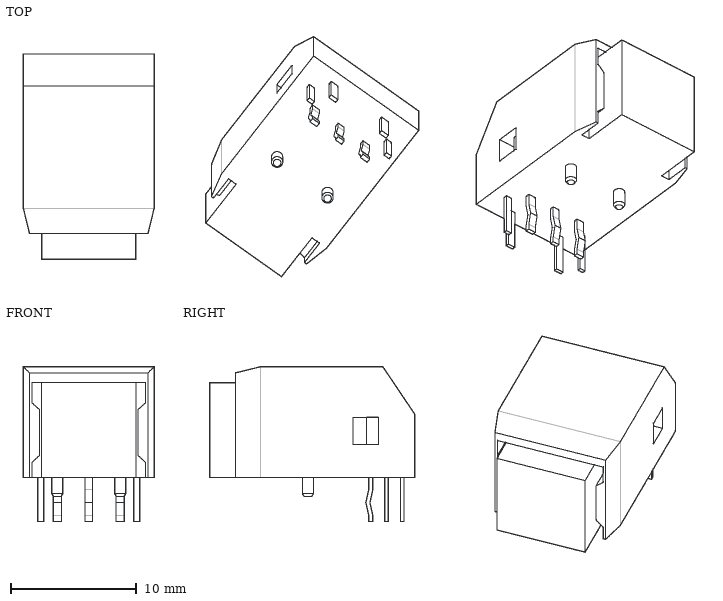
import cadquery as cq

LENGTH = 16.3
WIDTH = 10.4
HOUSING_HEIGHT = 8.8
LEAD_LENGTH = 3.5

HOUSING_FRONT = 2.04
BEVEL_LENGTH = 2.0
BEVEL_INSET = 0.49
REAR_SLOPE_LENGTH = 2.55
REAR_WALL_HEIGHT = 5.02

PLUG_WIDTH = 7.5
PLUG_HEIGHT = 7.53
RECESS_WIDTH = 9.0
RECESS_DEPTH = BEVEL_LENGTH
SIDE_WALL = (WIDTH - RECESS_WIDTH) / 2

RIB_HEIGHT = 0.6
RIB_FOOT_BOTTOM = 1.2
RIB_CREST_BOTTOM = 1.78
RIB_CREST_TOP = 5.38
RIB_FOOT_TOP = 5.92

WINDOW_FRONT = 11.4
WINDOW_LENGTH = 2.0
WINDOW_BOTTOM = 2.62
WINDOW_HEIGHT = 2.15
SLOT_LENGTH = 0.93

PEG_DIAMETER = 0.9
PEG_LENGTH = 1.52
PEG_CHAMFER_HEIGHT = 0.23
PEG_CHAMFER_WIDTH = 0.15
PEG_X = 2.5
PEG_Y = 7.8

LEAD_THICKNESS = 0.3
INNER_LEAD_X = PEG_X
INNER_LEAD_Y = 15.29
INNER_LEAD_WIDTH = 0.67
OUTER_LEAD_X = 3.81
OUTER_LEAD_Y = 14.05
OUTER_LEAD_WIDTH = 0.5
KINKED_LEAD_Y = 12.8
KINKED_LEAD_THICKNESS = 0.35
KINKED_CENTER_WIDTH = 0.6
KINK_OFFSET = 0.23
KINK_START = 0.96
KINK_PEAK = 1.99
KINK_END = 3.02


def box(x_size, y_size, z_size, x_center, y_min, z_min):
    """Box centred on x_center and starting at y_min and z_min."""
    return cq.Workplane("XY").box(x_size, y_size, z_size, centered=(True, False, False)).translate(
        (x_center, y_min, z_min)
    )


def make_housing():
    """Side outline intersected with the plan outline, giving mitred front bevels."""
    bevel_end = HOUSING_FRONT + BEVEL_LENGTH
    half_width = WIDTH / 2
    front_half_width = half_width - BEVEL_INSET
    side = (
        cq.Workplane("YZ")
        .polyline([
            (HOUSING_FRONT, 0),
            (HOUSING_FRONT, HOUSING_HEIGHT - BEVEL_INSET),
            (bevel_end, HOUSING_HEIGHT),
            (LENGTH - REAR_SLOPE_LENGTH, HOUSING_HEIGHT),
            (LENGTH, REAR_WALL_HEIGHT),
            (LENGTH, 0),
        ])
        .close()
        .extrude(half_width, both=True)
    )
    plan = (
        cq.Workplane("XY")
        .polyline([
            (-front_half_width, HOUSING_FRONT),
            (front_half_width, HOUSING_FRONT),
            (half_width, bevel_end),
            (half_width, LENGTH),
            (-half_width, LENGTH),
            (-half_width, bevel_end),
        ])
        .close()
        .extrude(HOUSING_HEIGHT)
    )
    return side.intersect(plan)


def make_recess():
    """Recess open at the front and underside, narrowed by a rib on each side wall."""
    half_width = RECESS_WIDTH / 2
    crest = half_width - RIB_HEIGHT
    right_side = [
        (half_width, 0),
        (half_width, RIB_FOOT_BOTTOM),
        (crest, RIB_CREST_BOTTOM),
        (crest, RIB_CREST_TOP),
        (half_width, RIB_FOOT_TOP),
        (half_width, PLUG_HEIGHT),
    ]
    left_side = [(-x, z) for x, z in reversed(right_side)]
    return (
        cq.Workplane("XZ", origin=(0, HOUSING_FRONT, 0))
        .polyline(right_side + left_side)
        .close()
        .extrude(-RECESS_DEPTH)
    )


def make_plug():
    return box(PLUG_WIDTH, HOUSING_FRONT + RECESS_DEPTH, PLUG_HEIGHT, 0, 0, 0)


def make_windows():
    """Pocket in each side wall plus a slot across the full width at the rear of the pockets."""
    slot_front = WINDOW_FRONT + WINDOW_LENGTH - SLOT_LENGTH
    cutter = box(WIDTH, SLOT_LENGTH, WINDOW_HEIGHT, 0, slot_front, WINDOW_BOTTOM)
    for side in (-1, 1):
        pocket_x = side * (WIDTH - SIDE_WALL) / 2
        cutter = cutter.union(
            box(SIDE_WALL, WINDOW_LENGTH, WINDOW_HEIGHT, pocket_x, WINDOW_FRONT, WINDOW_BOTTOM)
        )
    return cutter


def make_peg(x):
    return (
        cq.Workplane("XY", origin=(x, PEG_Y, 0))
        .circle(PEG_DIAMETER / 2)
        .extrude(-PEG_LENGTH)
        .faces("<Z")
        .chamfer(PEG_CHAMFER_HEIGHT, PEG_CHAMFER_WIDTH)
    )


def make_straight_lead(x, y, width):
    return box(width, LEAD_THICKNESS, LEAD_LENGTH, x, y - LEAD_THICKNESS / 2, -LEAD_LENGTH)


def make_kinked_lead(x, width):
    """Flat lead with a V-shaped kink towards the front."""
    rear_y = KINKED_LEAD_Y + KINKED_LEAD_THICKNESS / 2
    rear_edge = [
        (rear_y, 0),
        (rear_y, -KINK_START),
        (rear_y - KINK_OFFSET, -KINK_PEAK),
        (rear_y, -KINK_END),
        (rear_y, -LEAD_LENGTH),
    ]
    front_edge = [(y - KINKED_LEAD_THICKNESS, z) for y, z in reversed(rear_edge)]
    return (
        cq.Workplane("YZ", origin=(x, 0, 0))
        .polyline(rear_edge + front_edge)
        .close()
        .extrude(width / 2, both=True)
    )


result = make_housing().cut(make_recess()).union(make_plug()).cut(make_windows())
result = result.union(make_kinked_lead(0, KINKED_CENTER_WIDTH))
for side in (-1, 1):
    result = result.union(make_peg(side * PEG_X))
    result = result.union(make_kinked_lead(side * INNER_LEAD_X, INNER_LEAD_WIDTH))
    result = result.union(make_straight_lead(side * INNER_LEAD_X, INNER_LEAD_Y, INNER_LEAD_WIDTH))
    result = result.union(make_straight_lead(side * OUTER_LEAD_X, OUTER_LEAD_Y, OUTER_LEAD_WIDTH))